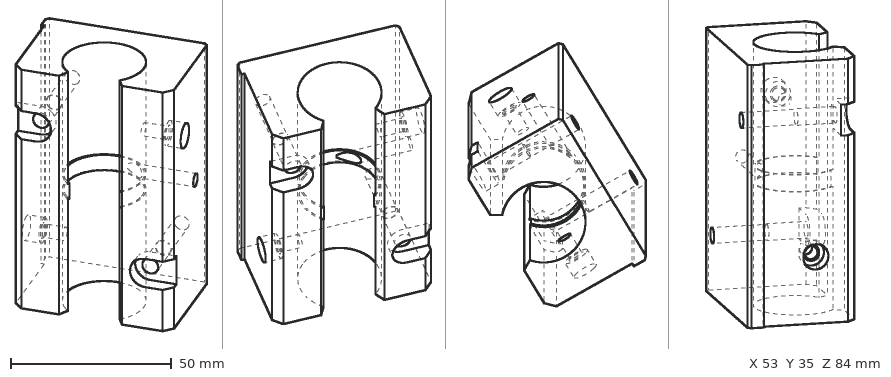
import cadquery as cq
import math

width = 53.0
depth = 35.0
length = 84.0
lip_overhang = 1.0
lip_depth = 4.95
back_chamfer = 1.0
front_chamfer = 2.8

axis_x = width / 2
axis_y = 13.1
bore_radius = 13.0
band_radius = 12.5
band_length = 5.4
mouth_half_width = 10.3
mouth_flare_angle = 30.0

mount_inset_x = 8.6
mount_inset_z = 19.5
mount_diameter = 5.2
mount_back_diameter = 4.9
mount_step_y = depth / 2
pocket_radius = 4.95
pocket_depth = 4.95

screw_inset_z = 21.3
screw_diameter = 4.2
screw_rim_diameter = 5.0
counterbore_diameter = 8.1
counterbore_depth = 5.5

oil_diameter = 4.2
oil_offset_y = 10.1


def make_block():
    """Chamfered outline with a lip along the back of the -X side."""
    outline = [
        (lip_overhang + front_chamfer, 0),
        (width - front_chamfer, 0),
        (width, front_chamfer),
        (width, depth - back_chamfer),
        (width - back_chamfer, depth),
        (back_chamfer, depth),
        (0, depth - back_chamfer),
        (0, depth - lip_depth),
        (lip_overhang, depth - lip_depth),
        (lip_overhang, front_chamfer),
    ]
    return cq.Workplane("XY").polyline(outline).close().extrude(length)


def make_bore():
    """Bore with its narrower middle band, plus the wedge that opens it to the front."""
    end_length = (length - band_length) / 2
    bore = cq.Workplane("XY").center(axis_x, axis_y).circle(band_radius).extrude(length)
    for start in (0, length - end_length):
        end = cq.Workplane("XY", origin=(axis_x, axis_y, start))
        bore = bore.union(end.circle(bore_radius).extrude(end_length))

    inner_half_width = mouth_half_width - axis_y * math.tan(math.radians(mouth_flare_angle))
    mouth_outline = [
        (axis_x - mouth_half_width, 0),
        (axis_x + mouth_half_width, 0),
        (axis_x + inner_half_width, axis_y),
        (axis_x - inner_half_width, axis_y),
    ]
    mouth = cq.Workplane("XY").polyline(mouth_outline).close().extrude(length)
    return bore.union(mouth)


def make_mount(x, z, side_x):
    """Stepped through hole along Y with a round-ended pocket reaching the side at side_x."""
    front = cq.Workplane("XZ", origin=(x, 0, z))
    hole = front.circle(mount_back_diameter / 2).extrude(-depth)
    wide_hole = front.circle(mount_diameter / 2).extrude(-mount_step_y)
    round_end = front.circle(pocket_radius).extrude(-pocket_depth)
    channel = (
        cq.Workplane("XZ", origin=((x + side_x) / 2, 0, z))
        .rect(abs(side_x - x), 2 * pocket_radius)
        .extrude(-pocket_depth)
    )
    return hole.union(wide_hole).union(round_end).union(channel)


def make_screw_hole(side_x, z, inward):
    """Counterbored hole from one side to the bore axis, chamfered at the counterbore floor.

    inward is +1 or -1 along X.
    """
    run = abs(axis_x - side_x)
    narrow = screw_diameter / 2
    rim = screw_rim_diameter / 2
    chamfer = rim - narrow
    section = [
        (0, 0),
        (0, counterbore_diameter / 2),
        (counterbore_depth, counterbore_diameter / 2),
        (counterbore_depth, rim),
        (counterbore_depth + chamfer, narrow),
        (run, narrow),
        (run, 0),
    ]
    points = [(inward * distance, radius) for distance, radius in section]
    profile = cq.Workplane("XY", origin=(side_x, axis_y, z)).polyline(points).close()
    return profile.revolve(360, (0, 0, 0), (1, 0, 0))


def make_oil_hole():
    """Hole along X through the back part of the bore wall."""
    start = cq.Workplane("YZ", origin=(axis_x, axis_y + oil_offset_y, length / 2))
    return start.circle(oil_diameter / 2).extrude(width - axis_x)


result = (
    make_block()
    .cut(make_bore())
    .cut(make_mount(mount_inset_x, length - mount_inset_z, 0))
    .cut(make_mount(width - mount_inset_x, mount_inset_z, width))
    .cut(make_screw_hole(lip_overhang, screw_inset_z, 1))
    .cut(make_screw_hole(width, length - screw_inset_z, -1))
    .cut(make_oil_hole())
)